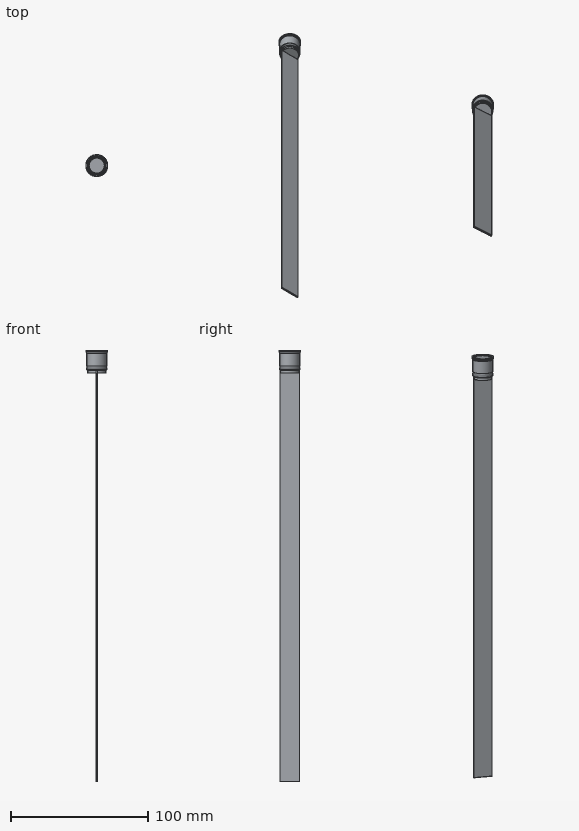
import cadquery as cq

total_height = 314.0

flange_radius = 8.0
flange_thickness = 1.0
shoulder_radius = 7.5
shoulder_height = 1.0
body_radius = 7.38
body_height = 14.5
body_chamfer = 0.5
groove_bottom_height = 1.0
groove_width = 1.3
groove_depth = 0.15
groove_slope_height = 0.5
neck_radius = 6.5
neck_height = 2.0

mouth_radius = 7.0
mouth_depth = 0.3
disc_radius = 6.12
disc_thickness = 1.0
disc_top_radius = 5.5

blade_width = 14.5
blade_thickness = 1.0

body_bottom = total_height - body_height
neck_bottom = body_bottom - neck_height
mouth_floor = total_height - mouth_depth
disc_bottom = mouth_floor - disc_thickness
flange_bottom = total_height - flange_thickness
groove_bottom = body_bottom + groove_bottom_height + body_chamfer
groove_top = groove_bottom + groove_slope_height + groove_width
groove_radius = body_radius - groove_depth


def make_blade():
    """Strip from the base plane up to the underside of the cap body."""
    return cq.Workplane("XY").box(
        blade_thickness, blade_width, body_bottom, centered=(True, True, False)
    )


def make_disc():
    """Round cover with a bevelled top edge, level with the floor of the mouth."""
    disc = cq.Workplane("XY").workplane(offset=disc_bottom).circle(disc_radius).extrude(disc_thickness)
    return disc.faces(">Z").chamfer(mouth_depth, disc_radius - disc_top_radius)


def make_cap(blade, disc):
    """Turned cap, slotted for the blade and recessed for the disc."""
    turned = (
        cq.Workplane("XZ")
        .moveTo(0, neck_bottom)
        .lineTo(-neck_radius, neck_bottom)
        .lineTo(-neck_radius, body_bottom)
        .lineTo(-(body_radius - body_chamfer), body_bottom)
        .lineTo(-body_radius, body_bottom + body_chamfer)
        .lineTo(-body_radius, groove_bottom)
        .lineTo(-groove_radius, groove_bottom + groove_slope_height)
        .lineTo(-groove_radius, groove_top)
        .lineTo(-body_radius, groove_top)
        .lineTo(-body_radius, flange_bottom - shoulder_height)
        .lineTo(-shoulder_radius, flange_bottom - shoulder_height)
        .lineTo(-shoulder_radius, flange_bottom)
        .lineTo(-flange_radius, flange_bottom)
        .lineTo(-flange_radius, total_height)
        .lineTo(-mouth_radius, total_height)
        .lineTo(-mouth_radius, mouth_floor)
        .lineTo(0, mouth_floor)
        .close()
        .revolve(360, (0, 0), (0, 1))
    )
    return turned.cut(blade).cut(disc)


blade = make_blade()
disc = make_disc()
cap = make_cap(blade, disc)

result = cq.Compound.makeCompound([cap.val(), disc.val(), blade.val()])